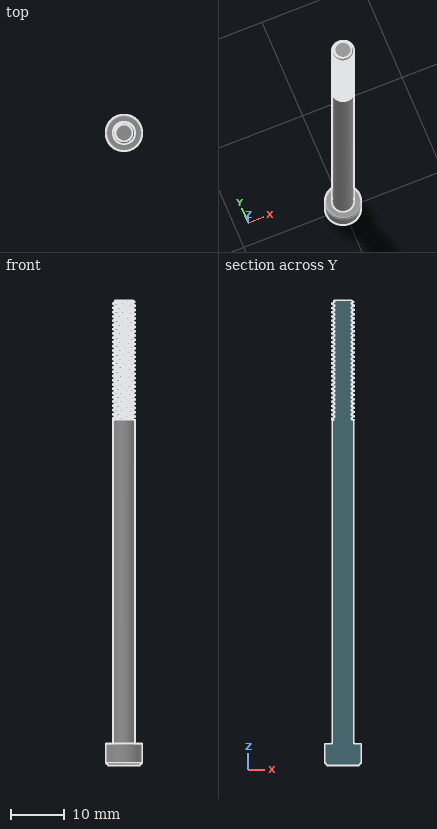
import cadquery as cq
import math

overall_length = 86.7
head_diameter = 6.85
shank_diameter = 4.2
head_height = shank_diameter
bearing_edge_fillet = 0.22
head_end_chamfer = 0.5

thread_length = 22.3
thread_turns = 28.1
thread_lift = 0.56
thread_angle = 60
tip_chamfer_width = 0.5
tip_chamfer_height = 0.35

pitch = thread_length / thread_turns
crest_width = pitch / 8
root_width = pitch / 8
flank_rise = (pitch - crest_width - root_width) / 2
thread_depth = flank_rise / math.tan(math.radians(thread_angle / 2))

head_radius = head_diameter / 2
major_radius = shank_diameter / 2
core_radius = major_radius - thread_depth
thread_start = overall_length - thread_length
shank_length = thread_start - head_height


def make_head():
    """Cylindrical head with a chamfered end face and a rounded bearing edge."""
    head = cq.Workplane("XY").circle(head_radius).extrude(head_height)
    head = head.faces("<Z").edges().chamfer(head_end_chamfer)
    return head.faces(">Z").edges().fillet(bearing_edge_fillet)


def make_shank():
    """Plain shank between the head and the thread."""
    shank = cq.Workplane("XY").circle(major_radius).extrude(shank_length)
    return shank.translate((0, 0, head_height))


def make_end_faces(base, lines):
    """Helicoid from the axis out to the first helix, and the flat step across one pitch."""
    axis = cq.Edge.makeLine(cq.Vector(0, 0, base), cq.Vector(0, 0, base + pitch))
    helicoid = cq.Face.makeRuledSurface(axis, lines[0])
    corners = [line.startPoint() for line in lines]
    corners += [axis.endPoint(), axis.startPoint()]
    step = cq.Face.makeFromWires(cq.Wire.makePolygon(corners, close=True))
    return [helicoid, step]


def make_screw_body(base, turns):
    """Solid screw around the Z axis, skinned with one-turn crest, flank and root strips."""
    form = [
        (major_radius, 0),
        (major_radius, crest_width),
        (core_radius, crest_width + flank_rise),
        (core_radius, crest_width + flank_rise + root_width),
    ]
    lines = []
    for turn in range(turns + 2):
        for radius, rise in form:
            helix = cq.Wire.makeHelix(pitch, pitch, radius).Edges()[0]
            lines.append(helix.translate(cq.Vector(0, 0, base + turn * pitch + rise)))

    lines_per_turn = len(form)
    strips = lines_per_turn * turns
    faces = [cq.Face.makeRuledSurface(lines[i], lines[i + 1]) for i in range(strips)]
    faces += make_end_faces(base, lines[: lines_per_turn + 1])
    faces += make_end_faces(base + turns * pitch, lines[strips : strips + lines_per_turn + 1])
    return cq.Workplane(obj=cq.Solid.makeSolid(cq.Shell.makeShell(faces)))


def make_thread_envelope():
    """Turned blank, wider than the thread, whose conical top trims the tip."""
    blank_radius = head_radius
    tip_radius = major_radius - tip_chamfer_width
    cone_height = (blank_radius - tip_radius) * tip_chamfer_height / tip_chamfer_width
    return (
        cq.Workplane("XZ")
        .moveTo(0, thread_start)
        .lineTo(blank_radius, thread_start)
        .lineTo(blank_radius, overall_length - cone_height)
        .lineTo(tip_radius, overall_length)
        .lineTo(0, overall_length)
        .close()
        .revolve(360, (0, 0, 0), (0, 1, 0))
    )


def make_thread():
    """Threaded length; the groove ends square against the shank."""
    spare_turns = 2
    base = thread_start - spare_turns * pitch + thread_lift
    screw = make_screw_body(base, math.ceil(thread_turns) + 2 * spare_turns)
    return screw.intersect(make_thread_envelope())


result = make_head().union(make_shank()).union(make_thread())